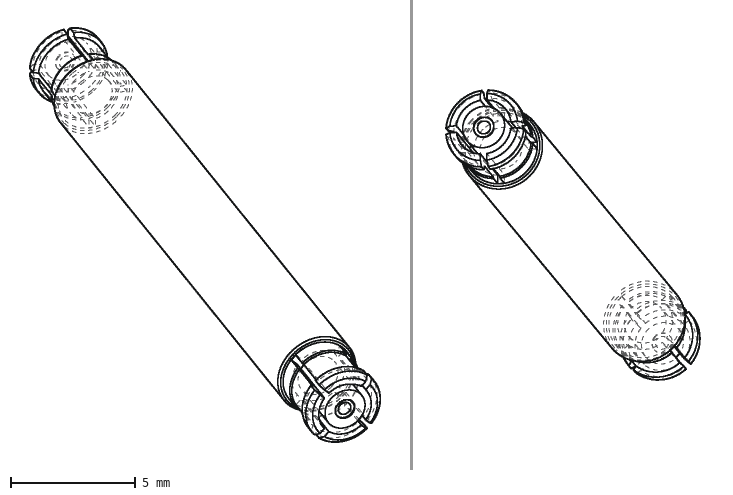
import cadquery as cq

length = 30.0
body_radius = 1.695
body_chamfer = 0.1

collet_length = 2.95
collar_radius = 1.5
collar_start = 2.15
collar_taper = 0.05
neck_radius = 1.45
lip_radius = 1.62
lip_tip_radius = 1.4
lip_crest_start = 0.2
lip_crest_end = 0.6
lip_end = 0.72

bore_radius = 1.15
insulator_radius = 0.87
gap_depth = 2.9

slot_width = 0.27
slot_length = gap_depth
slot_count = 4
left_slot_angle = 0
right_slot_angle = 45

contact_radius = 0.42
contact_recess = 0.05
socket_radius = 0.27
socket_cone_depth = 0.42


def make_half():
    """Left half of the turned shape, with its tip at X = 0."""
    profile = [
        (0, 0),
        (0, lip_tip_radius),
        (lip_crest_start, lip_radius),
        (lip_crest_end, lip_radius),
        (lip_end, neck_radius),
        (collar_start, neck_radius),
        (collar_start + collar_taper, collar_radius),
        (collet_length, collar_radius),
        (collet_length, body_radius - body_chamfer),
        (collet_length + body_chamfer, body_radius),
        (length / 2, body_radius),
        (length / 2, 0),
    ]
    return cq.Workplane("XY").polyline(profile).close().revolve(360, (0, 0, 0), (1, 0, 0))


def make_gap():
    """Ring-shaped clearance around the insulator."""
    return cq.Workplane("YZ").circle(bore_radius).circle(insulator_radius).extrude(gap_depth)


def make_slots(first_angle):
    """Radial slots through the finger wall, from the bore outward."""
    blade = (
        cq.Workplane("XY")
        .box(slot_length, slot_width, body_radius, centered=(False, True, False))
        .cut(cq.Workplane("YZ").circle(bore_radius).extrude(slot_length))
    )
    slots = cq.Workplane("XY")
    for index in range(slot_count):
        angle = first_angle + index * 360 / slot_count
        slots = slots.add(blade.rotate((0, 0, 0), (1, 0, 0), angle))
    return slots.combine()


def make_socket():
    """Shallow contact recess with a conical socket at its centre."""
    profile = [
        (0, 0),
        (0, contact_radius),
        (contact_recess, contact_radius),
        (contact_recess, socket_radius),
        (contact_recess + socket_cone_depth, 0),
    ]
    return cq.Workplane("XY").polyline(profile).close().revolve(360, (0, 0, 0), (1, 0, 0))


def make_end(first_slot_angle):
    """Finished half, with its tip at X = 0 and its cut face at mid length."""
    return make_half().cut(make_gap()).cut(make_slots(first_slot_angle)).cut(make_socket())


left_half = make_end(left_slot_angle).translate((-length / 2, 0, 0))
right_half = make_end(right_slot_angle).translate((-length / 2, 0, 0)).mirror("YZ")
result = left_half.union(right_half)